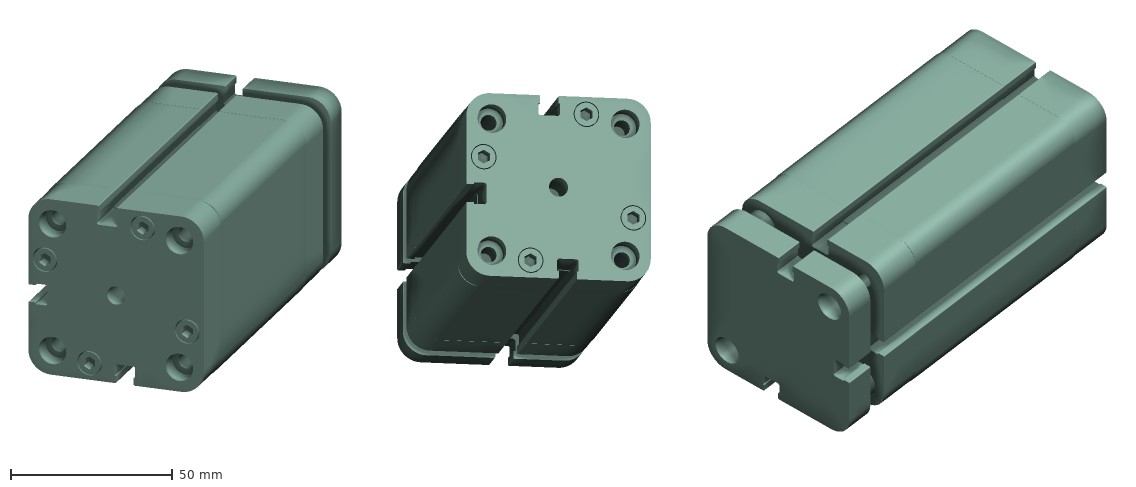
import cadquery as cq
import math

LENGTH = 122.0
CAP_SIDE = 58.1
CAP_CORNER_RADIUS = 7.5
CAP_THICKNESS = 15.0
TUBE_INSET = 0.06
TUBE_CORNER_RADIUS = 13.5 / 2
PLATE_THICKNESS = 10.0
GAP = 6.5

TUBE_SIDE = CAP_SIDE - 2 * TUBE_INSET
BODY_LENGTH = LENGTH - PLATE_THICKNESS - GAP
TUBE_LENGTH = BODY_LENGTH - 2 * CAP_THICKNESS
REAR_CAP_START = BODY_LENGTH - CAP_THICKNESS
PLATE_START = LENGTH - PLATE_THICKNESS

SLOT_OFFSET = 2.9
SLOT_MOUTH_WIDTH = 5.7
SLOT_MOUTH_DEPTH = 2.5
SLOT_WIDTH = 6.8
SLOT_DEPTH = 6.3
TUBE_SLOT_DEPTH = 6.0
SLOT_MOUTH_RADIUS = 0.4
SLOT_FLOOR_CHAMFER = 0.5
SLOT_TURNS = (0, 90, 180)

MOUNT_OFFSET = 21.0
MOUNT_DIAMETER = 5.0
MOUNT_COUNTERBORE_DIAMETER = 9.0
MOUNT_COUNTERBORE_DEPTH = 6.0
PLATE_HOLE_DIAMETER = 9.5

SCREW_X = 8.8
SCREW_Z = 23.5
SCREW_RECESS_DIAMETER = 8.0
SCREW_HEAD_DIAMETER = 7.5
SCREW_GROOVE_DEPTH = 4.0
SOCKET_ACROSS_FLATS = 3.8
SOCKET_DEPTH = 4.0
SOCKET_TURN = 30

CENTER_HOLE_DIAMETER = 6.0
CENTER_HOLE_DEPTH = CAP_THICKNESS

GUIDE_ROD_DIAMETER = 10.0
GUIDE_ROD_OFFSET = 20.5
PISTON_ROD_DIAMETER = 12.0
PISTON_ROD_CHAMFER_LENGTH = 1.5
PISTON_ROD_CHAMFER_RADIAL = 0.5
WRENCH_FLAT_WIDTH = 10.0
WRENCH_FLAT_LENGTH = 4.5
WRENCH_FLAT_RUNOUT = (PISTON_ROD_DIAMETER - WRENCH_FLAT_WIDTH) / 2


def section_at(y):
    """Workplane across the part at station y, drawn in X and Z and extruded towards +Y."""
    return cq.Workplane(cq.Plane(origin=(0, y, 0), xDir=(1, 0, 0), normal=(0, 1, 0)))


def xz(x, z):
    """Point of a section: the workplane's second axis runs along -Z."""
    return (x, -z)


def square_block(start, length, side, corner_radius):
    block = section_at(start).rect(side, side).extrude(length)
    return block.edges("|Y").fillet(corner_radius)


def cylinder(start, length, diameter, x=0.0, z=0.0):
    return section_at(start).center(*xz(x, z)).circle(diameter / 2).extrude(length)


def turned(solid, angle):
    """Copy turned about the part axis; a positive angle carries the top towards -X."""
    return solid.rotate((0, 0, 0), (0, 1, 0), -angle)


def slot_cutter(start, length, side, depth):
    """Stretch of the slot in the top of a block with the given side."""
    mouth = SLOT_MOUTH_WIDTH / 2
    flare = mouth + SLOT_MOUTH_RADIUS
    half = SLOT_WIDTH / 2
    top = side / 2
    lip = top - SLOT_MOUTH_RADIUS
    ledge = top - SLOT_MOUTH_DEPTH
    floor = top - depth
    arc_inset = SLOT_MOUTH_RADIUS * math.sqrt(0.5)
    arc_x = flare - arc_inset
    arc_z = lip + arc_inset

    def point(x, z):
        return xz(x - SLOT_OFFSET, z)

    return (
        section_at(start)
        .moveTo(*point(flare, top))
        .threePointArc(point(arc_x, arc_z), point(mouth, lip))
        .lineTo(*point(mouth, ledge))
        .lineTo(*point(half, ledge))
        .lineTo(*point(half, floor + SLOT_FLOOR_CHAMFER))
        .lineTo(*point(half - SLOT_FLOOR_CHAMFER, floor))
        .lineTo(*point(SLOT_FLOOR_CHAMFER - half, floor))
        .lineTo(*point(-half, floor + SLOT_FLOOR_CHAMFER))
        .lineTo(*point(-half, ledge))
        .lineTo(*point(-mouth, ledge))
        .lineTo(*point(-mouth, lip))
        .threePointArc(point(-arc_x, arc_z), point(-flare, top))
        .close()
        .extrude(length)
    )


def piston_rod():
    radius = PISTON_ROD_DIAMETER / 2
    tip_start = PLATE_START - PISTON_ROD_CHAMFER_LENGTH
    tip_radius = radius - PISTON_ROD_CHAMFER_RADIAL
    rod = (
        cq.Workplane("XY")
        .polyline([(0, BODY_LENGTH), (radius, BODY_LENGTH), (radius, tip_start),
                   (tip_radius, PLATE_START), (0, PLATE_START)])
        .close()
        .revolve(360, (0, 0), (0, 1))
    )
    flat = WRENCH_FLAT_WIDTH / 2
    flat_start = PLATE_START - WRENCH_FLAT_LENGTH
    for side in (1, -1):
        cutter = (
            cq.Workplane("XY")
            .polyline([(side * flat, PLATE_START), (side * flat, flat_start),
                       (side * radius, flat_start - WRENCH_FLAT_RUNOUT), (side * radius, PLATE_START)])
            .close()
            .extrude(radius, both=True)
        )
        rod = rod.cut(cutter)
    return rod


def screw_recess(x, z):
    """Thin groove round a flush screw head, and its hexagon socket with corners up and down."""
    groove = (
        section_at(0)
        .center(*xz(x, z))
        .circle(SCREW_RECESS_DIAMETER / 2)
        .circle(SCREW_HEAD_DIAMETER / 2)
        .extrude(SCREW_GROOVE_DEPTH)
    )
    across_corners = SOCKET_ACROSS_FLATS / math.cos(math.pi / 6)
    socket = section_at(0).polygon(6, across_corners).extrude(SOCKET_DEPTH)
    socket = turned(socket, SOCKET_TURN).translate((x, 0, z))
    return groove, socket


result = square_block(0, CAP_THICKNESS, CAP_SIDE, CAP_CORNER_RADIUS)
result = result.union(square_block(CAP_THICKNESS, TUBE_LENGTH, TUBE_SIDE, TUBE_CORNER_RADIUS))
result = result.union(square_block(REAR_CAP_START, CAP_THICKNESS, CAP_SIDE, CAP_CORNER_RADIUS))
result = result.union(square_block(PLATE_START, PLATE_THICKNESS, CAP_SIDE, CAP_CORNER_RADIUS))

for sign in (1, -1):
    offset = sign * GUIDE_ROD_OFFSET
    result = result.union(cylinder(BODY_LENGTH, GAP, GUIDE_ROD_DIAMETER, offset, offset))
result = result.union(piston_rod())

slot_stretches = [
    (0, CAP_THICKNESS, CAP_SIDE, SLOT_DEPTH),
    (CAP_THICKNESS, TUBE_LENGTH, TUBE_SIDE, TUBE_SLOT_DEPTH),
    (REAR_CAP_START, CAP_THICKNESS, CAP_SIDE, SLOT_DEPTH),
    (PLATE_START, PLATE_THICKNESS, CAP_SIDE, SLOT_DEPTH),
]
for angle in SLOT_TURNS:
    for start, length, side, depth in slot_stretches:
        result = result.cut(turned(slot_cutter(start, length, side, depth), angle))

for sign_x in (1, -1):
    for sign_z in (1, -1):
        x = sign_x * MOUNT_OFFSET
        z = sign_z * MOUNT_OFFSET
        on_guide_rod = sign_x == sign_z
        hole_length = CAP_THICKNESS if on_guide_rod else LENGTH
        result = result.cut(cylinder(0, hole_length, MOUNT_DIAMETER, x, z))
        result = result.cut(cylinder(0, MOUNT_COUNTERBORE_DEPTH, MOUNT_COUNTERBORE_DIAMETER, x, z))
        if not on_guide_rod:
            result = result.cut(cylinder(PLATE_START, PLATE_THICKNESS, PLATE_HOLE_DIAMETER, x, z))

result = result.cut(cylinder(0, CENTER_HOLE_DEPTH, CENTER_HOLE_DIAMETER))
screw_x, screw_z = SCREW_X, SCREW_Z
for quarter in range(4):
    for cutter in screw_recess(screw_x, screw_z):
        result = result.cut(cutter)
    screw_x, screw_z = -screw_z, screw_x